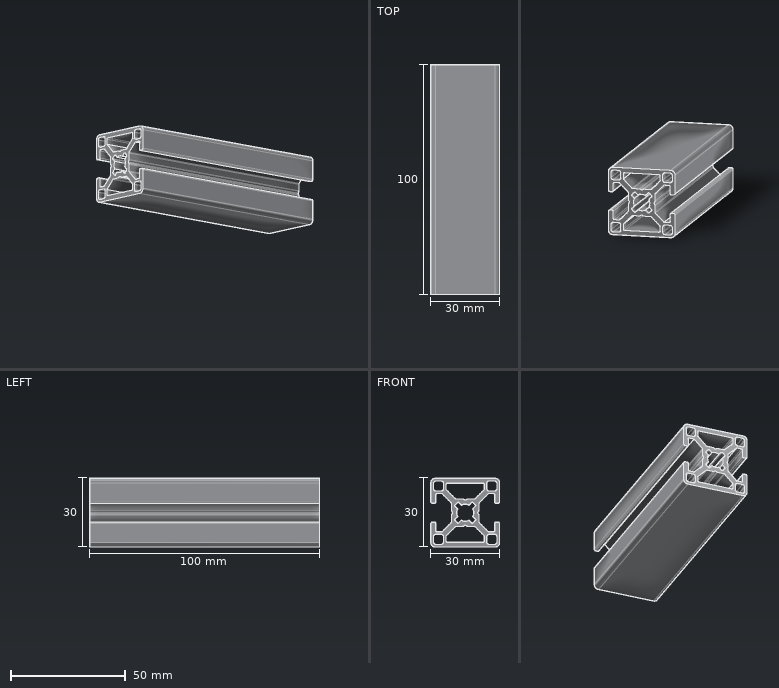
import cadquery as cq
import math

profile_size = 30.0
length = 100.0
half = profile_size / 2
corner_radius = 2.0

web_width = 2.55
core_half = 6.0
core_corner_radius = 0.5
face_wall = 2.2
cavity_half_width = 8.25
cavity_corner_radius = 0.5

groove_depth = 0.5
groove_half_width = 0.9
groove_edge_radius = 0.5
groove_root_radius = 0.3

slot_opening = 8.1
lip_chamfer = 0.5
lip_chamfer_radius = 0.45
lip_inner_radius = 0.5

hollow_size = 4.3
hollow_wall = 1.25
hollow_corner_radius = 1.0

bore_diameter = 7.3
relief_width = 2.2
relief_reach = 5.5
relief_corner_radius = 0.2

cavity_outer = half - face_wall
slot_half = slot_opening / 2
web_offset = web_width / math.sqrt(2)
hollow_pitch = profile_size - 2 * hollow_wall - hollow_size


def section():
    return cq.Workplane("XZ")


def prism(sketch):
    """Extrude a closed XZ outline over the full length, centred on Y."""
    return sketch.extrude(length / 2, both=True)


def turned(body, angle):
    """Turn a body about the profile axis."""
    return body.rotate((0, 0, 0), (0, 1, 0), angle)


def round_edges(body, points, radius):
    """Round the lengthwise edges that pass through the given (x, z) points."""
    for x, z in points:
        selector = cq.selectors.NearestToPointSelector((x, 0, z))
        body = body.edges("|Y").edges(selector).fillet(radius)
    return body


def mirrored(x, z):
    return [(-x, z), (x, z)]


def make_bar():
    bar = prism(section().rect(profile_size, profile_size))
    return bar.edges("|Y").fillet(corner_radius)


def make_cavity():
    """Trapezoidal cavity behind the +Z face, with the V-groove in its floor."""
    shoulder = cavity_half_width + web_offset
    floor_half = core_half - web_offset
    groove_root = core_half - groove_depth
    outline = [
        (-cavity_half_width, cavity_outer),
        (-cavity_half_width, shoulder),
        (-floor_half, core_half),
        (-groove_half_width, core_half),
        (0, groove_root),
        (groove_half_width, core_half),
        (floor_half, core_half),
        (cavity_half_width, shoulder),
        (cavity_half_width, cavity_outer),
    ]
    cavity = prism(section().polyline(outline).close())
    cavity = round_edges(cavity, mirrored(cavity_half_width, cavity_outer), cavity_corner_radius)
    cavity = round_edges(cavity, mirrored(floor_half, core_half), core_corner_radius)
    cavity = round_edges(cavity, mirrored(groove_half_width, core_half), groove_edge_radius)
    return round_edges(cavity, [(0, groove_root)], groove_root_radius)


def make_slot_mouth():
    """Gap through the +Z face, widened by the chamfers of the lips."""
    outline = [
        (-slot_half, cavity_outer),
        (-slot_half, half - lip_chamfer),
        (-slot_half - lip_chamfer, half),
        (slot_half + lip_chamfer, half),
        (slot_half, half - lip_chamfer),
        (slot_half, cavity_outer),
    ]
    return prism(section().polyline(outline).close())


def round_lips(bar):
    """Round the inner edges of the four lips and both ends of their outer chamfers."""
    for side in (-1, 1):
        for end in (-1, 1):
            inner = (side * cavity_outer, end * slot_half)
            chamfer_start = (side * (half - lip_chamfer), end * slot_half)
            chamfer_end = (side * half, end * (slot_half + lip_chamfer))
            bar = round_edges(bar, [inner], lip_inner_radius)
            bar = round_edges(bar, [chamfer_start, chamfer_end], lip_chamfer_radius)
    return bar


def make_corner_hollows():
    centres = section().rarray(hollow_pitch, hollow_pitch, 2, 2)
    hollows = prism(centres.rect(hollow_size, hollow_size))
    return hollows.edges("|Y").fillet(hollow_corner_radius)


def make_relief():
    """Pair of opposite relief slots along X, with ends concentric to the bore."""
    relief = prism(section().rect(profile_size, relief_width))
    relief = relief.intersect(prism(section().circle(relief_reach)))
    return relief.edges("|Y").fillet(relief_corner_radius)


def make_bore():
    bore = prism(section().circle(bore_diameter / 2))
    for angle in (45, -45):
        bore = bore.union(turned(make_relief(), angle))
    return bore


result = make_bar()
for cavity_angle in (0, 90, 180, 270):
    result = result.cut(turned(make_cavity(), cavity_angle))
for slot_angle in (90, 270):
    result = result.cut(turned(make_slot_mouth(), slot_angle))
result = round_lips(result)
result = result.cut(make_corner_hollows())
result = result.cut(make_bore())